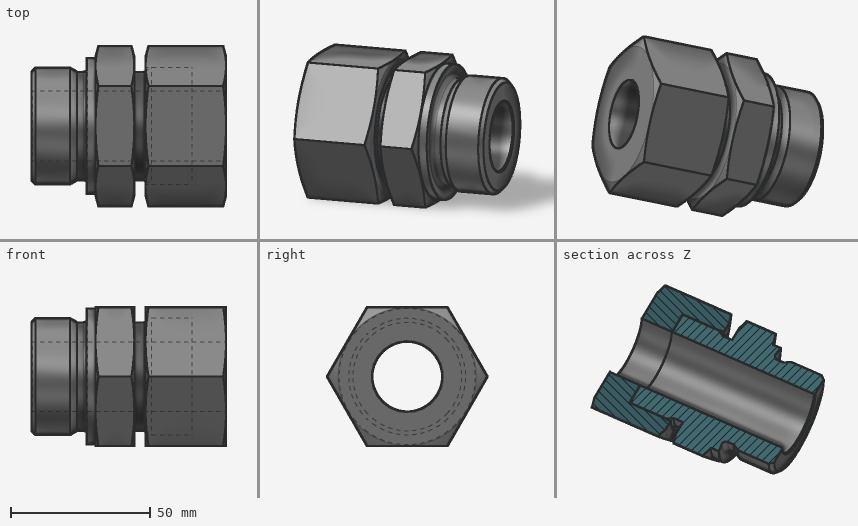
import cadquery as cq
import math

overall_length = 70.0
stud_end_x = -overall_length / 2
nut_end_x = overall_length / 2
thread_length = 13.85
stud_length = 19.9
collar_x = stud_end_x + stud_length
collar_width = 3.15
body_hex_x = collar_x + collar_width
body_hex_length = 14.0
nut_length = 29.0
nut_x = nut_end_x - nut_length
nut_neck_x = body_hex_x + body_hex_length
nut_neck_length = 3.6
nut_neck_end_x = nut_neck_x + nut_neck_length

across_flats = 50.0
bore_radius = 12.5
bore_chamfer = 0.4
thread_radius = 21.0
stud_chamfer = 1.5
undercut_radius = 19.5
collar_radius = 24.5
collar_dish_radius = 23.45

undercut_slope = math.radians(30)
undercut_run = (thread_radius - undercut_radius) / math.tan(undercut_slope)
hex_bevel_slope = math.radians(15)
hex_bevel_radius = 24.85

dish_slope = math.radians(9)
dish_fillet = 1.55
dish_inner_radius = undercut_radius + dish_fillet * (1 + math.sin(dish_slope))
dish_inner_x = collar_x + (collar_dish_radius - dish_inner_radius) * math.tan(dish_slope)
fillet_center_x = dish_inner_x - dish_fillet * math.cos(dish_slope)
fillet_center_radius = undercut_radius + dish_fillet
fillet_mid_angle = (dish_slope - math.pi / 2) / 2
fillet_mid_point = (
    fillet_center_x + dish_fillet * math.cos(fillet_mid_angle),
    fillet_center_radius + dish_fillet * math.sin(fillet_mid_angle),
)

nut_thread_depth = 16.8
body_end_x = nut_x + nut_thread_depth


def revolve_about_x(profile):
    """Turn a closed (x, radius) profile around the X axis."""
    return profile.close().revolve(360, (0, 0, 0), (1, 0, 0))


def cylinder(start_x, end_x, radius):
    """Solid cylinder along the X axis."""
    return cq.Workplane("YZ", origin=(start_x, 0, 0)).circle(radius).extrude(end_x - start_x)


def beveled_hexagon(start_x, length):
    """Hexagonal prism along X, corners pointing to +Y and -Y, beveled at both ends."""
    corner_radius = across_flats / 2 / math.cos(math.radians(30))
    bevel_run = (corner_radius - hex_bevel_radius) * math.tan(hex_bevel_slope)
    end_x = start_x + length
    prism = cq.Workplane("YZ", origin=(start_x, 0, 0)).polygon(6, 2 * corner_radius).extrude(length)
    envelope = revolve_about_x(
        cq.Workplane("XY")
        .moveTo(start_x, 0)
        .lineTo(start_x, hex_bevel_radius)
        .lineTo(start_x + bevel_run, corner_radius)
        .lineTo(end_x - bevel_run, corner_radius)
        .lineTo(end_x, hex_bevel_radius)
        .lineTo(end_x, 0)
    )
    return prism.intersect(envelope)


def make_body():
    """Screw-in stud, dished collar, hexagon and nut thread, with a bore right through."""
    stud_and_collar = revolve_about_x(
        cq.Workplane("XY")
        .moveTo(stud_end_x, 0)
        .lineTo(stud_end_x, thread_radius - stud_chamfer)
        .lineTo(stud_end_x + stud_chamfer, thread_radius)
        .lineTo(stud_end_x + thread_length, thread_radius)
        .lineTo(stud_end_x + thread_length + undercut_run, undercut_radius)
        .lineTo(fillet_center_x, undercut_radius)
        .threePointArc(fillet_mid_point, (dish_inner_x, dish_inner_radius))
        .lineTo(collar_x, collar_dish_radius)
        .lineTo(collar_x, collar_radius)
        .lineTo(body_hex_x, collar_radius)
        .lineTo(body_hex_x, 0)
    )
    nut_thread = revolve_about_x(
        cq.Workplane("XY")
        .moveTo(nut_neck_x, 0)
        .lineTo(nut_neck_x, undercut_radius)
        .lineTo(nut_neck_end_x, undercut_radius)
        .lineTo(nut_neck_end_x + undercut_run, thread_radius)
        .lineTo(body_end_x, thread_radius)
        .lineTo(body_end_x, 0)
    )
    solid = stud_and_collar.union(beveled_hexagon(body_hex_x, body_hex_length)).union(nut_thread)
    bored = solid.cut(cylinder(stud_end_x, body_end_x, bore_radius))
    bore_mouth = bored.faces("<X").edges(cq.selectors.RadiusNthSelector(0))
    return bore_mouth.chamfer(bore_chamfer)


def make_nut():
    """Hexagon nut with a thread bore and a smaller opening through its end wall."""
    thread_bore = cylinder(nut_x, body_end_x, thread_radius)
    opening = cylinder(body_end_x, nut_end_x, bore_radius)
    return beveled_hexagon(nut_x, nut_length).cut(thread_bore).cut(opening)


body = make_body()
nut = make_nut()

result = cq.Compound.makeCompound([body.val(), nut.val()])